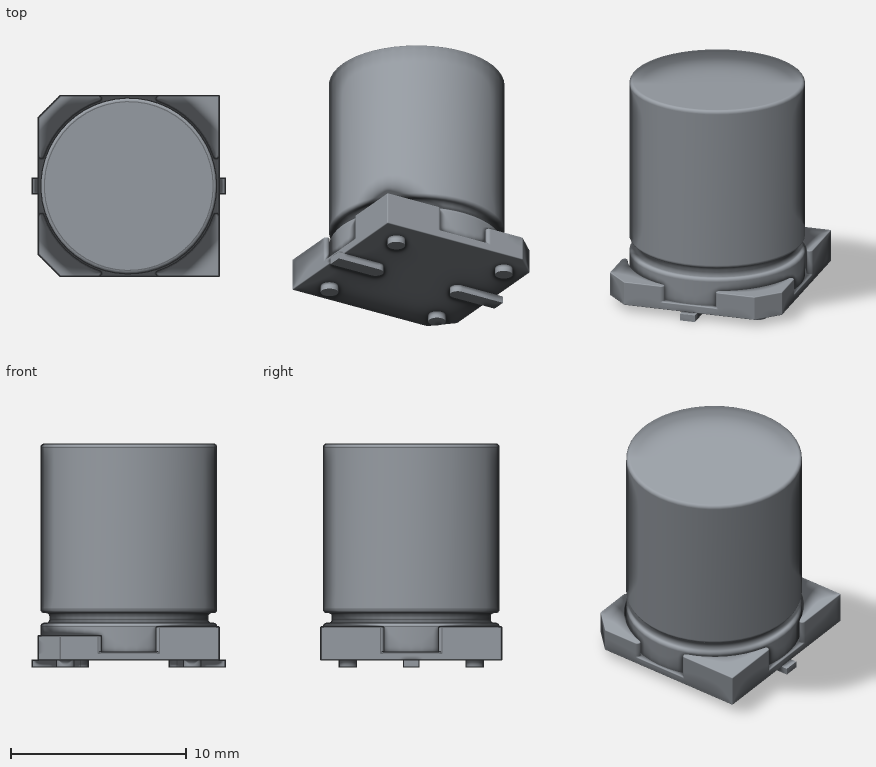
import cadquery as cq
import math

can_radius = 5.0
neck_radius = 4.5
can_top = 12.7
bead_fillet = 0.2
neck_middle = 2.8
neck_height = 0.6

base_width = 10.3
base_bottom = 0.4
seat_height = 0.85
short_post_top = 1.8
tall_post_top = 2.3
corner_chamfer = 1.25
seat_radius = 5.1
window_width = 3.1
post_outer_fillet = 0.2
post_inner_fillet = 0.15
base_edge_fillet = 0.05

foot_radius = 0.5
foot_offset = 3.6
lead_width = 0.9
lead_outer_end = 5.5
lead_inner_end = 2.3

half_base = base_width / 2
half_window = window_width / 2


def make_cylinder(radius, bottom, top):
    """Upright cylinder on the part axis."""
    return cq.Workplane("XY").workplane(offset=bottom).circle(radius).extrude(top - bottom)


def make_can():
    """Can with a rolled neck between its foot and its body, all rims rounded."""
    neck_bottom = neck_middle - neck_height / 2
    neck_top = neck_middle + neck_height / 2
    can = make_cylinder(can_radius, seat_height, neck_bottom)
    can = can.union(make_cylinder(neck_radius, neck_bottom, neck_top))
    can = can.union(make_cylinder(can_radius, neck_top, can_top))
    return can.edges("%CIRCLE and (not <Z)").fillet(bead_fillet)


def make_floor():
    """Square floor plate with the two -X corners cut off."""
    plate = (
        cq.Workplane("XY")
        .workplane(offset=base_bottom)
        .rect(base_width, base_width)
        .extrude(seat_height - base_bottom)
    )
    return plate.edges("|Z and <X").chamfer(corner_chamfer)


def make_post(x_side, y_side, top):
    """Corner post between the seat circle and the outer walls of the base."""
    reach = math.sqrt(seat_radius**2 - half_window**2)
    diagonal = seat_radius * math.sqrt(0.5)

    def at(x, y):
        return (x_side * x, y_side * y)

    post = (
        cq.Workplane("XY")
        .workplane(offset=base_bottom)
        .moveTo(*at(half_window, half_base))
        .lineTo(*at(half_base, half_base))
        .lineTo(*at(half_base, half_window))
        .lineTo(*at(reach, half_window))
        .threePointArc(at(diagonal, diagonal), at(half_window, reach))
        .close()
        .extrude(top - base_bottom)
    )

    def upright_at(body, x, y):
        height = (base_bottom + top) / 2
        return body.edges("|Z").edges(cq.NearestToPointSelector((*at(x, y), height)))

    for x, y in ((half_window, half_base), (half_base, half_window)):
        post = upright_at(post, x, y).fillet(post_outer_fillet)
    for x, y in ((half_window, reach), (reach, half_window)):
        post = upright_at(post, x, y).fillet(post_inner_fillet)
    if x_side < 0:
        post = upright_at(post, half_base, half_base).chamfer(corner_chamfer)
    return post


def make_base():
    """Floor plate with short posts at -X, tall posts at +X and softened edges."""
    base = make_floor()
    for y_side in (-1, 1):
        base = base.union(make_post(-1, y_side, short_post_top))
        base = base.union(make_post(1, y_side, tall_post_top))
    return base.edges().fillet(base_edge_fillet)


def make_foot(x, y):
    """Round stand-off foot."""
    return cq.Workplane("XY").center(x, y).circle(foot_radius).extrude(base_bottom)


def make_lead(x_side):
    """Flat lead with a rounded inner end."""
    half_width = lead_width / 2
    round_start = x_side * (lead_inner_end + half_width)
    return (
        cq.Workplane("XY")
        .moveTo(x_side * lead_outer_end, -half_width)
        .lineTo(round_start, -half_width)
        .threePointArc((x_side * lead_inner_end, 0), (round_start, half_width))
        .lineTo(x_side * lead_outer_end, half_width)
        .close()
        .extrude(base_bottom)
    )


result = make_base().union(make_can())
for side in (-1, 1):
    result = result.union(make_lead(side))
    for y_side in (-1, 1):
        result = result.union(make_foot(side * foot_offset, y_side * foot_offset))